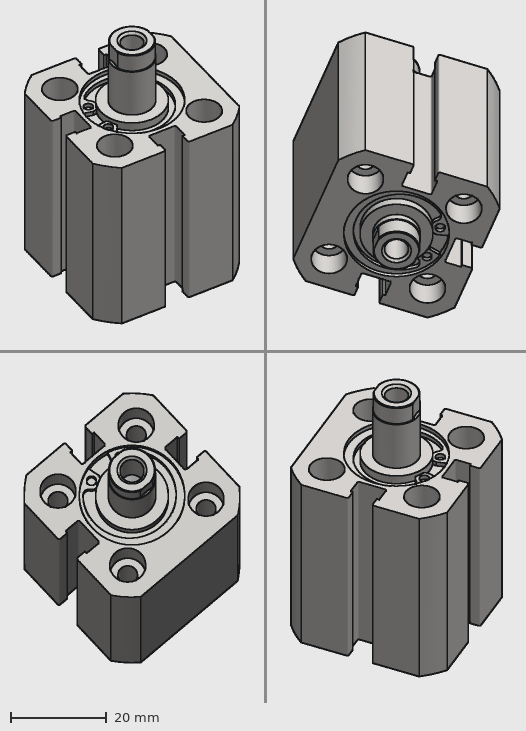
import cadquery as cq
import math


WIDTH = 36.0
HEIGHT = 42.0
CORNER_RADIUS = 22.5
BORE_RADIUS = 11.0

SLOT_DEPTH = 6.0
LIP_THICKNESS = 2.4
MOUTH_WIDTH = 5.5
SLOT_WIDTH = 6.6
MOUTH_ROUND = 0.4
FLOOR_ROUND = 0.4

HOLE_PITCH = 21.9
HOLE_DIAMETER = 4.1
COUNTERBORE_DIAMETER = 7.5
COUNTERBORE_DEPTH = 6.4

ROD_RADIUS = 5.0
UPPER_PROTRUSION = 16.0
LOWER_PROTRUSION = 6.0
NECK_RADIUS = 4.85
NECK_LENGTH = 4.4
NECK_CHAMFER = 0.2
FLAT_DISTANCE = 4.55
THREAD_RADIUS = 2.5
THREAD_DEPTH = 10.25
THREAD_CHAMFER = 0.6
DRILL_TIP_ANGLE = 118.0

BOSS_RADIUS = 7.6
COVER_DEPTH = 8.0

RING_RECESS = 1.0
RING_THICKNESS = 1.0
RING_OPENING_RADIUS = 9.7
RING_OPENING_OFFSET = 0.8
LUG_RADIUS = 1.9
LUG_HOLE_RADIUS = 1.0
LUG_X = 4.0
LUG_Y = -8.25
LUG_FILLET = 1.3
GAP_HALF_ANGLE = 14.0

HALF_WIDTH = WIDTH / 2
RING_BOTTOM = HEIGHT - RING_RECESS - RING_THICKNESS


def cylinder(radius, z_start, z_end):
    return cq.Workplane("XY").workplane(offset=z_start).circle(radius).extrude(z_end - z_start)


def flip_end_for_end(body):
    """Copy a body from the upper end of the housing to the lower end."""
    return body.mirror("XY", (0, 0, HEIGHT / 2))


def t_slot():
    """T-slot cutter for the -Y side, with a rounded mouth and rounded floor corners."""
    mouth = MOUTH_WIDTH / 2
    half_slot = SLOT_WIDTH / 2
    floor = SLOT_DEPTH - HALF_WIDTH
    lip_inside = LIP_THICKNESS - HALF_WIDTH
    arc_inset = MOUTH_ROUND * (1 - math.sqrt(0.5))

    half_outline = cq.Workplane("XY").moveTo(0, -HALF_WIDTH).lineTo(mouth + MOUTH_ROUND, -HALF_WIDTH)
    half_outline = half_outline.threePointArc(
        (mouth + arc_inset, arc_inset - HALF_WIDTH), (mouth, MOUTH_ROUND - HALF_WIDTH))
    half_outline = half_outline.lineTo(mouth, lip_inside).lineTo(half_slot, lip_inside)
    half_outline = half_outline.lineTo(half_slot, floor).lineTo(0, floor)
    slot = half_outline.mirrorY().extrude(HEIGHT)
    return slot.faces(">Y").edges("|Z").fillet(FLOOR_ROUND)


def make_housing():
    housing = cq.Workplane("XY").rect(WIDTH, WIDTH).extrude(HEIGHT)
    housing = housing.intersect(cylinder(CORNER_RADIUS, 0, HEIGHT))
    for angle in (-90, 0, 90):
        housing = housing.cut(t_slot().rotate((0, 0, 0), (0, 0, 1), angle))
    housing = housing.cut(cylinder(BORE_RADIUS, 0, HEIGHT))

    mounting_hole = cylinder(HOLE_DIAMETER / 2, 0, HEIGHT)
    for z_start in (0, HEIGHT - COUNTERBORE_DEPTH):
        counterbore = cylinder(COUNTERBORE_DIAMETER / 2, z_start, z_start + COUNTERBORE_DEPTH)
        mounting_hole = mounting_hole.union(counterbore)
    for x in (-HOLE_PITCH / 2, HOLE_PITCH / 2):
        for y in (-HOLE_PITCH / 2, HOLE_PITCH / 2):
            housing = housing.cut(mounting_hole.translate((x, y, 0)))
    return housing


def make_cover():
    """Upper guide cover: a flange filling the bore, and a boss flush with the housing end."""
    cover = cylinder(BORE_RADIUS, HEIGHT - COVER_DEPTH, RING_BOTTOM)
    cover = cover.union(cylinder(BOSS_RADIUS, RING_BOTTOM, HEIGHT))
    return cover.cut(cylinder(ROD_RADIUS, 0, HEIGHT))


def ring_plane():
    return cq.Workplane("XY").workplane(offset=RING_BOTTOM)


def wedge(half_angle):
    """Ring-thick wedge that opens from the axis towards -Y and reaches past the bore."""
    length = 2 * BORE_RADIUS
    half_base = length * math.tan(math.radians(half_angle))
    outline = [(0, 0), (-half_base, -length), (half_base, -length)]
    return ring_plane().polyline(outline).close().extrude(RING_THICKNESS)


def make_ring():
    """Upper retaining ring: an eccentric C with an eyed lug on each side of its gap."""
    ring_top = RING_BOTTOM + RING_THICKNESS
    lug_places = [(-LUG_X, LUG_Y), (LUG_X, LUG_Y)]
    lugs = ring_plane().pushPoints(lug_places).circle(LUG_RADIUS).extrude(RING_THICKNESS)
    lug_holes = ring_plane().pushPoints(lug_places).circle(LUG_HOLE_RADIUS).extrude(RING_THICKNESS)

    lug_angle = math.degrees(math.atan2(LUG_X, -LUG_Y))
    lug_roots = wedge(lug_angle).cut(cylinder(math.hypot(LUG_X, LUG_Y), RING_BOTTOM, ring_top))

    opening = cylinder(RING_OPENING_RADIUS, RING_BOTTOM, ring_top).translate((0, -RING_OPENING_OFFSET, 0))
    opening = opening.cut(lugs).cut(lug_roots)
    for side in (-1, 1):
        beside_lug = (side * (LUG_X + LUG_RADIUS), LUG_Y, RING_BOTTOM + RING_THICKNESS / 2)
        corner = opening.edges("|Z").edges(cq.selectors.NearestToPointSelector(beside_lug))
        opening = corner.fillet(LUG_FILLET)

    ring = cylinder(BORE_RADIUS, RING_BOTTOM, ring_top).cut(opening)
    ring = ring.cut(wedge(GAP_HALF_ANGLE)).cut(lug_holes)
    return ring.cut(cylinder(BOSS_RADIUS, RING_BOTTOM, ring_top))


def rod_end_trim():
    """Material to remove at an upper rod end whose tip is at z = 0."""
    flank = ROD_RADIUS - NECK_RADIUS
    outside = 2 * ROD_RADIUS
    neck_profile = [
        (NECK_RADIUS - NECK_CHAMFER, 0),
        (NECK_RADIUS, -NECK_CHAMFER),
        (NECK_RADIUS, flank - NECK_LENGTH),
        (ROD_RADIUS, -NECK_LENGTH),
        (outside, -NECK_LENGTH),
        (outside, 0),
    ]
    trim = cq.Workplane("XZ").polyline(neck_profile).close().revolve(360, (0, 0), (0, 1))

    shoulder = ROD_RADIUS - FLAT_DISTANCE
    flat_center = (FLAT_DISTANCE + outside) / 2
    flats = cq.Workplane("XY").pushPoints([(0, -flat_center), (0, flat_center)])
    flats = flats.rect(2 * outside, outside - FLAT_DISTANCE).extrude(-NECK_LENGTH)
    cone_profile = [
        (0, -NECK_LENGTH),
        (ROD_RADIUS, -NECK_LENGTH),
        (FLAT_DISTANCE, shoulder - NECK_LENGTH),
        (0, shoulder - NECK_LENGTH),
    ]
    cone = cq.Workplane("XZ").polyline(cone_profile).close().revolve(360, (0, 0), (0, 1))
    trim = trim.union(flats.cut(cone))

    drill_tip = THREAD_RADIUS / math.tan(math.radians(DRILL_TIP_ANGLE / 2))
    hole_profile = [
        (0, 0),
        (THREAD_RADIUS + THREAD_CHAMFER, 0),
        (THREAD_RADIUS, -THREAD_CHAMFER),
        (THREAD_RADIUS, -THREAD_DEPTH),
        (0, -THREAD_DEPTH - drill_tip),
    ]
    trim = trim.union(cq.Workplane("XZ").polyline(hole_profile).close().revolve(360, (0, 0), (0, 1)))
    return trim


def make_rod():
    bottom = -LOWER_PROTRUSION
    top = HEIGHT + UPPER_PROTRUSION
    end_trim = rod_end_trim()
    rod = cylinder(ROD_RADIUS, bottom, top)
    rod = rod.cut(end_trim.translate((0, 0, top)))
    return rod.cut(end_trim.mirror("XY").translate((0, 0, bottom)))


housing = make_housing()
rod = make_rod()
bodies = [housing.val(), rod.val()]

for upper_body in (make_cover(), make_ring()):
    lower_body = flip_end_for_end(upper_body)
    bodies += [upper_body.val(), lower_body.val()]

result = cq.Compound.makeCompound(bodies)